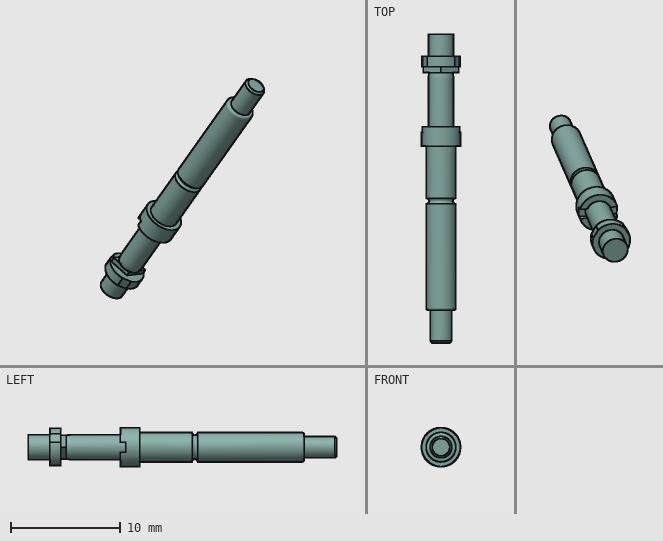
import cadquery as cq
import math

TOTAL_LENGTH = 28.3
REAR_Y = TOTAL_LENGTH / 2

SHAFT_RADIUS = 1.15
TAIL_LENGTH = 2.0
COLLAR_RADIUS = 1.75
COLLAR_LENGTH = 1.0
COLLAR_FLAT_DISTANCE = 1.7
COLLAR_FLAT_ANGLES = (30, 150, 270)

KEY_LENGTH = 0.5
KEY_HALF_WIDTH = 1.65
NECK_RADIUS = 1.1
NECK_LENGTH = 0.45

FLANGE_STATION = 8.45
FLANGE_DIAMETER = 3.6
FLANGE_LENGTH = 1.78
SLOT_WIDTH = 0.93
SLOT_DEPTH = 0.5

BARREL_RADIUS = 1.35
GROOVE_RADIUS = 0.25
GROOVE_STATION = 15.28
BARREL_FILLET = 0.23
TIP_RADIUS = 1.0
TIP_LENGTH = 3.0
TIP_CHAMFER = 0.2

COLLAR_END = TAIL_LENGTH + COLLAR_LENGTH
KEY_END = COLLAR_END + KEY_LENGTH
NECK_END = KEY_END + NECK_LENGTH
FLANGE_END = FLANGE_STATION + FLANGE_LENGTH
BARREL_END = TOTAL_LENGTH - TIP_LENGTH


def section_plane(station):
    """Sketch plane across the axis; extruding from it runs forward (-Y)."""
    origin = (0, REAR_Y - station, 0)
    return cq.Workplane(cq.Plane(origin=origin, xDir=(1, 0, 0), normal=(0, -1, 0)))


def cylinder(station, end, radius):
    return section_plane(station).circle(radius).extrude(end - station)


def make_collar():
    """Round collar with three flats cut 120 degrees apart."""
    collar = cylinder(TAIL_LENGTH, COLLAR_END, COLLAR_RADIUS)
    side = 2 * COLLAR_RADIUS
    for angle in COLLAR_FLAT_ANGLES:
        direction = math.radians(angle)
        offset = COLLAR_FLAT_DISTANCE + side / 2
        cutter = (
            section_plane(TAIL_LENGTH)
            .center(offset * math.cos(direction), offset * math.sin(direction))
            .transformed(rotate=(0, 0, angle))
            .rect(side, side)
            .extrude(COLLAR_LENGTH)
        )
        collar = collar.cut(cutter)
    return collar


def make_key():
    """Diamond whose upper and lower corners touch the neck outline."""
    corners = [(KEY_HALF_WIDTH, 0), (0, NECK_RADIUS), (-KEY_HALF_WIDTH, 0), (0, -NECK_RADIUS)]
    return section_plane(COLLAR_END).polyline(corners).close().extrude(KEY_LENGTH)


def make_shaft():
    """Shaft from the key to the flange, tapering down to the neck at its rear end."""
    taper = (
        section_plane(KEY_END)
        .circle(NECK_RADIUS)
        .workplane(offset=NECK_LENGTH)
        .circle(SHAFT_RADIUS)
        .loft()
    )
    return taper.union(cylinder(NECK_END, FLANGE_END, SHAFT_RADIUS))


def make_flange():
    """Flange slotted straight across its rear face; the shaft fills the slot's middle."""
    slot = (
        section_plane(FLANGE_STATION)
        .rect(FLANGE_DIAMETER, SLOT_WIDTH)
        .extrude(SLOT_DEPTH)
    )
    return cylinder(FLANGE_STATION, FLANGE_END, FLANGE_DIAMETER / 2).cut(slot)


def make_barrel():
    """Barrel with a rounded front edge and a half-round groove."""
    barrel = cylinder(FLANGE_END, BARREL_END, BARREL_RADIUS).faces("<Y").edges().fillet(BARREL_FILLET)
    groove = cq.Workplane(
        cq.Solid.makeTorus(
            BARREL_RADIUS,
            GROOVE_RADIUS,
            cq.Vector(0, REAR_Y - GROOVE_STATION, 0),
            cq.Vector(0, 1, 0),
        )
    )
    return barrel.cut(groove)


def make_tip():
    return cylinder(BARREL_END, TOTAL_LENGTH, TIP_RADIUS).faces("<Y").edges().chamfer(TIP_CHAMFER)


result = (
    cylinder(0, TAIL_LENGTH, SHAFT_RADIUS)
    .union(make_collar())
    .union(make_key())
    .union(make_shaft())
    .union(make_flange())
    .union(make_barrel())
    .union(make_tip())
)